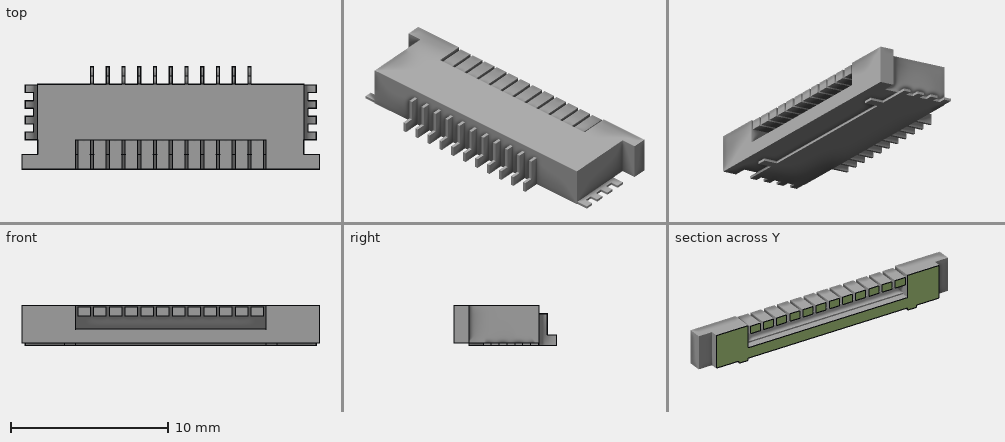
import cadquery as cq


total_width = 18.92
total_depth = 6.54
total_height = 2.56

flange_depth = 0.96
body_width = 16.92
body_front = 1.9
body_back = 5.42
standoff = 0.16

contact_count = 11
pitch = 1.0
contact_width = 0.2
contact_step_height = 2.04
contact_step_depth = 0.52
tail_height = 0.68

tongue_count = contact_count + 1
gap_width = 0.2
tongue_width = pitch - gap_width
end_gap = 0.15
mouth_width = (tongue_count - 1) * pitch + tongue_width + 2 * end_gap
mouth_floor = 1.05
floor_step = 0.1
tongue_recess = 0.1
tongue_thickness = 0.58
tongue_top = total_height - tongue_recess
tongue_bottom = tongue_top - tongue_thickness
mouth_depth = 1.86

tab_span = 18.52
tab_front = 1.88
tooth_width = 0.5
tooth_length = 0.53
tooth_count = 4
tab_back = tab_front + (2 * tooth_count - 1) * tooth_width

foot_width = 0.7


def box(x_range, y_range, z_range):
    """Axis-aligned box given by its limits along X, Y and Z."""
    size = [high - low for low, high in (x_range, y_range, z_range)]
    corner = (x_range[0], y_range[0], z_range[0])
    return cq.Workplane("XY").box(*size, centered=False).translate(corner)


def across(width, center=0.0):
    """Limits of a span of the given width about a center."""
    return (center - width / 2, center + width / 2)


def row_positions(count):
    """X positions of a row at the contact pitch, centered on X = 0."""
    return [(i - (count - 1) / 2) * pitch for i in range(count)]


def make_housing():
    flange = box(across(total_width), (0, flange_depth), (standoff, total_height))
    front = box(across(body_width), (0, body_front), (standoff, total_height))
    rear = box(across(body_width), (body_front, body_back), (0, total_height))
    return flange.union(front).union(rear)


def cut_mouth(housing):
    """Open the cable mouth to the front and top; its floor steps down behind the flange."""
    mouth = box(across(mouth_width), (0, mouth_depth), (mouth_floor, total_height))
    lowered_floor = box(
        across(mouth_width),
        (flange_depth, mouth_depth),
        (mouth_floor - floor_step, mouth_floor),
    )
    return housing.cut(mouth).cut(lowered_floor)


def add_tongues(housing):
    """Tongues cantilevered forward over the mouth."""
    for x in row_positions(tongue_count):
        tongue = box(across(tongue_width, x), (0, mouth_depth), (tongue_bottom, tongue_top))
        housing = housing.union(tongue)
    return housing


def make_contact(x):
    """Stepped contact standing out of the rear face, with a low solder tail."""
    step_back = body_back + contact_step_depth
    step = box(across(contact_width, x), (body_back, step_back), (0, contact_step_height))
    tail = box(across(contact_width, x), (body_back, total_depth), (0, tail_height))
    return step.union(tail)


def make_left_tab():
    """Solder tab on the -X side, its outer edge notched into teeth."""
    outer = -tab_span / 2
    tab = box((outer, -mouth_width / 2), (tab_front, tab_back), (0, standoff))
    for i in range(tooth_count - 1):
        notch_front = tab_front + (2 * i + 1) * tooth_width
        notch = box(
            (outer, outer + tooth_length),
            (notch_front, notch_front + tooth_width),
            (0, standoff),
        )
        tab = tab.cut(notch)
    return tab


def make_left_foot():
    """Foot on the -X side carrying the front section down to the board."""
    inner = -mouth_width / 2
    return box((inner - foot_width, inner), (flange_depth, body_front), (0, standoff))


result = add_tongues(cut_mouth(make_housing()))
for contact_x in row_positions(contact_count):
    result = result.union(make_contact(contact_x))
for side_part in (make_left_tab(), make_left_foot()):
    result = result.union(side_part).union(side_part.mirror("YZ"))